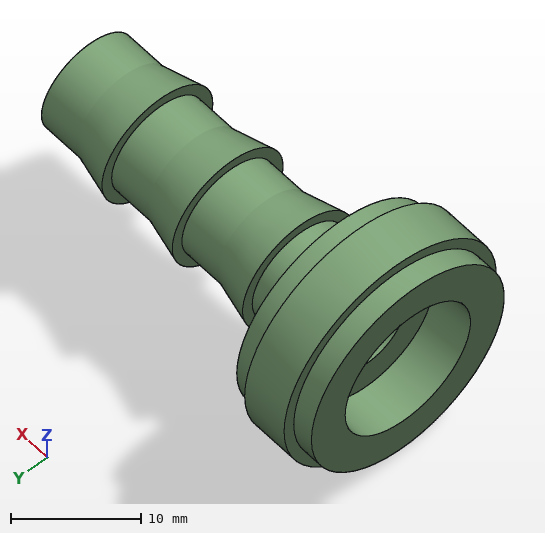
import cadquery as cq

total_length = 36.5

shoulder_diameter = 20.0
shoulder_length = 2.0
flange_diameter = 22.0
flange_length = 4.5

stem_diameter = 9.5
barb_diameter = 11.5
barb_count = 3

bore_diameter = 7.0
socket_diameter = 13.0
socket_depth = 4.3

head_length = 2 * shoulder_length + flange_length
barb_length = (total_length - head_length) / (2 * barb_count + 1)


def cylinder(start, length, diameter):
    """Cylinder along +X starting at the given X position."""
    return cq.Workplane("YZ", origin=(start, 0, 0)).circle(diameter / 2).extrude(length)


def barb(start):
    """Solid cone frustum, sharp on the head side, tapering down to the stem."""
    profile = [
        (start, 0),
        (start, barb_diameter / 2),
        (start + barb_length, stem_diameter / 2),
        (start + barb_length, 0),
    ]
    return cq.Workplane("XZ").polyline(profile).close().revolve(360, (0, 0, 0), (1, 0, 0))


body = cylinder(0, total_length, stem_diameter)
body = body.union(cylinder(0, head_length, shoulder_diameter))
body = body.union(cylinder(shoulder_length, flange_length, flange_diameter))

for index in range(barb_count):
    body = body.union(barb(head_length + (2 * index + 1) * barb_length))

body = body.cut(cylinder(0, total_length, bore_diameter))
result = body.cut(cylinder(0, socket_depth, socket_diameter))